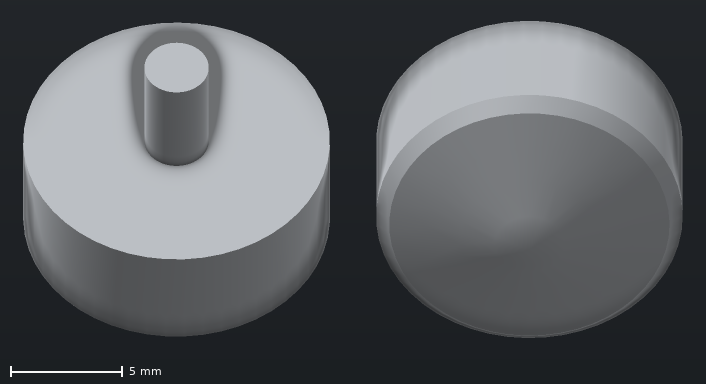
import cadquery as cq

body_diameter = 13.8
stem_diameter = 2.9
total_height = 13.2
stem_height = 5.2
chamfer = 0.6
cone_height = 1.95

body_radius = body_diameter / 2
stem_radius = stem_diameter / 2
cone_radius = body_radius - chamfer
body_bottom = cone_height + chamfer
body_top = total_height - stem_height

profile = (
    cq.Workplane("XZ")
    .moveTo(0, 0)
    .lineTo(cone_radius, cone_height)
    .lineTo(body_radius, body_bottom)
    .lineTo(body_radius, body_top)
    .lineTo(stem_radius, body_top)
    .lineTo(stem_radius, total_height)
    .lineTo(0, total_height)
    .close()
)

result = profile.revolve(360, (0, 0, 0), (0, 1, 0))